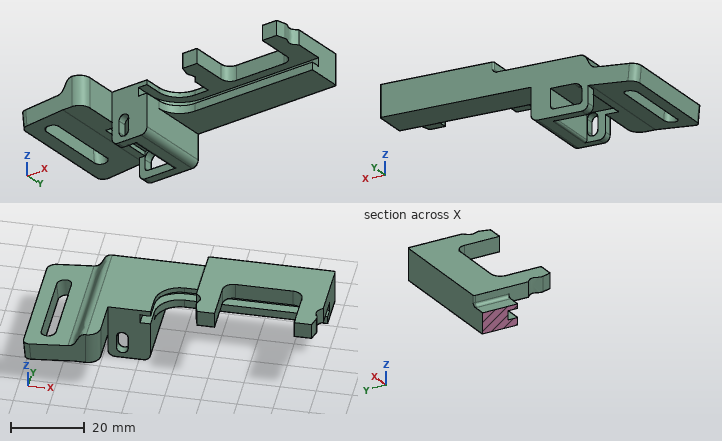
import cadquery as cq
import math

LENGTH = 79.53
DEPTH = 37.2
HEIGHT = 19.68

DECK_TOP = 16.5
DECK_BOTTOM = 7.1
DECK_RIGHT = 21.1
DECK_CORNER_R = 3.5

TILT = 5.0
HANDLE_THICKNESS = 5.15
HANDLE_END_TOP = 11.0
HANDLE_FRONT_R = 2.0
HANDLE_BACK_R = 2.4
RISER_FOOT_X = 12.7
RISER_TOP_X = 17.75
RISER_MIDDLE = (15.15, 14.25)
SLOT_WIDTH = 4.1
SLOT_LENGTH = 26.1
SLOT_X = 6.15
SLOT_Y = 17.15

BLOCK_RIGHT = 32.9
BLOCK_FRONT = 13.65
RAIL_FRONT = 26.1
RAIL_BOTTOM = 10.0
RAIL_INNER_R = 7.0
RAIL_END_R = 0.5

GROOVE_BOTTOM = 12.4
GROOVE_TOP = 15.0
GROOVE_DEPTH = 2.9

FRONT_LEG_THICKNESS = 2.7
BACK_LEG_THICKNESS = 2.9
BACK_LEG_LEFT = 15.15
LEG_CORNER_R = 2.0
WALL_LEFT = 26.8
WALL_EDGE_R = 0.7
SCREW_SLOT_X = 25.1
SCREW_SLOT_WIDTH = 3.2
SCREW_SLOT_BOTTOM = 1.6
SCREW_SLOT_TOP = 8.35
WINDOW_LEFT = 17.05
WINDOW_BOTTOM = 2.35
WINDOW_TOP = 8.5
WINDOW_CORNER_R = 1.0
WINDOW_SHOULDER_R = 2.5

CLIP_LEFT = 44.4
CLIP_CORNER_R = 0.5
CLIP_FILLET_R = 1.0
ARM_TIP = 12.0
ARM_WIDTH = 6.55
MOUTH_CORNER_R = 3.0
NOTCH_START = 19.95
NECK_INSET = 1.5
NECK_Y = 17.6
BULGE_INSET = 0.95
BULGE_Y = 14.7
TIP_INSET = 1.7


def prism_y(outline, y_start, y_end):
    """Extrude a closed XZ outline from y_start to y_end."""
    return outline.extrude(y_start - y_end).translate((0, y_start, 0))


def box(x_start, x_end, y_start, y_end, z_start, z_end):
    """Box given by its limits along each axis."""
    size = (x_end - x_start, y_end - y_start, z_end - z_start)
    return cq.Workplane("XY").box(*size, centered=False).translate((x_start, y_start, z_start))


def make_deck_and_handle():
    tilt = math.radians(TILT)
    slope = math.tan(tilt)
    end_bottom_x = HANDLE_THICKNESS * math.sin(tilt)
    end_bottom_z = HANDLE_END_TOP - HANDLE_THICKNESS * math.cos(tilt)
    underside_bend_x = end_bottom_x + (DECK_BOTTOM - end_bottom_z) / slope
    riser_foot_z = HANDLE_END_TOP + RISER_FOOT_X * slope
    outline = (
        cq.Workplane("XZ")
        .moveTo(0, HANDLE_END_TOP)
        .lineTo(RISER_FOOT_X, riser_foot_z)
        .spline(
            [RISER_MIDDLE, (RISER_TOP_X, DECK_TOP)],
            tangents=[(1, slope), (1, 0)],
            includeCurrent=True,
        )
        .lineTo(DECK_RIGHT, DECK_TOP)
        .lineTo(DECK_RIGHT, DECK_BOTTOM)
        .lineTo(underside_bend_x, DECK_BOTTOM)
        .lineTo(end_bottom_x, end_bottom_z)
        .close()
    )
    body = prism_y(outline, 0, DEPTH)
    body = body.faces("<X").edges("<Y").fillet(HANDLE_FRONT_R)
    body = body.faces("<X").edges(">Y").fillet(HANDLE_BACK_R)
    body = body.faces(">X").edges("<Y").fillet(DECK_CORNER_R)

    slot_plane = cq.Plane(
        origin=(SLOT_X, SLOT_Y, HANDLE_END_TOP + SLOT_X * slope),
        xDir=(math.cos(tilt), 0, math.sin(tilt)),
        normal=(-math.sin(tilt), 0, math.cos(tilt)),
    )
    slot = cq.Workplane(slot_plane).slot2D(SLOT_LENGTH, SLOT_WIDTH, 90)
    return body.cut(slot.extrude(HANDLE_THICKNESS, both=True))


def block_and_rail_layer(inset, z_start, z_end):
    """Layer of the block and rail, with its right and front sides set back by inset."""
    step_x = BLOCK_RIGHT - inset
    rail_y = RAIL_FRONT + inset
    layer = (
        cq.Workplane("XY")
        .moveTo(DECK_RIGHT, BLOCK_FRONT)
        .lineTo(step_x, BLOCK_FRONT)
        .lineTo(step_x, rail_y)
        .lineTo(LENGTH, rail_y)
        .lineTo(LENGTH, DEPTH)
        .lineTo(DECK_RIGHT, DEPTH)
        .close()
        .extrude(z_end - z_start)
        .translate((0, 0, z_start))
    )
    inner_corner = cq.selectors.NearestToPointSelector((step_x, rail_y, (z_start + z_end) / 2))
    layer = layer.edges("|Z").edges(inner_corner).fillet(RAIL_INNER_R + inset)
    return layer.edges("|Z and >X and >Y").fillet(RAIL_END_R)


def make_block_and_rail():
    lower = block_and_rail_layer(0, RAIL_BOTTOM, GROOVE_BOTTOM)
    middle = block_and_rail_layer(GROOVE_DEPTH, GROOVE_BOTTOM, GROOVE_TOP)
    upper = block_and_rail_layer(0, GROOVE_TOP, DECK_TOP)
    core = box(DECK_RIGHT, BLOCK_RIGHT, BLOCK_FRONT, DEPTH, DECK_BOTTOM, RAIL_BOTTOM)
    return lower.union(middle).union(upper).union(core)


def make_leg(left, y_start, y_end):
    leg = box(left, BLOCK_RIGHT, y_start, y_end, 0, RAIL_BOTTOM)
    return leg.edges("|Y and <Z").fillet(LEG_CORNER_R)


def add_legs(body):
    front_inner = BLOCK_FRONT + FRONT_LEG_THICKNESS
    back_inner = DEPTH - BACK_LEG_THICKNESS

    body = body.cut(box(WINDOW_LEFT, WALL_LEFT, front_inner, back_inner, 0, WINDOW_TOP))
    wall = box(WALL_LEFT, BLOCK_RIGHT, front_inner, back_inner, 0, RAIL_BOTTOM)
    wall = wall.edges("|Y and <Z and >X").fillet(LEG_CORNER_R)
    wall = wall.edges("|Y and <Z and <X").fillet(WALL_EDGE_R)
    body = body.union(wall)
    body = body.union(make_leg(DECK_RIGHT, BLOCK_FRONT, front_inner))
    body = body.union(make_leg(BACK_LEG_LEFT, back_inner, DEPTH))

    slot_length = SCREW_SLOT_TOP - SCREW_SLOT_BOTTOM
    slot_middle = (SCREW_SLOT_TOP + SCREW_SLOT_BOTTOM) / 2
    slot = cq.Workplane("XZ").center(SCREW_SLOT_X, slot_middle).slot2D(slot_length, SCREW_SLOT_WIDTH, 90)
    body = body.cut(prism_y(slot, BLOCK_FRONT, front_inner))

    window = box(WINDOW_LEFT, WALL_LEFT, back_inner, DEPTH, WINDOW_BOTTOM, WINDOW_TOP)
    window = window.edges("|Y and <Z").fillet(WINDOW_CORNER_R)
    window = window.edges("|Y and >Z and <X").fillet(WINDOW_SHOULDER_R)
    return body.cut(window)


def arm_outline(outer_x, inward):
    """Notched arm in plan; inward is +1 or -1 along X from its outer side."""
    neck_x = outer_x + inward * NECK_INSET
    bulge_x = outer_x + inward * BULGE_INSET
    tip_x = outer_x + inward * TIP_INSET
    inner_x = outer_x + inward * ARM_WIDTH
    return (
        cq.Workplane("XY")
        .moveTo(outer_x, RAIL_FRONT)
        .lineTo(outer_x, NOTCH_START)
        .spline(
            [(neck_x, NECK_Y), (bulge_x, BULGE_Y)],
            tangents=[(inward, -1), (0, -1), (tip_x - bulge_x, ARM_TIP - BULGE_Y)],
            includeCurrent=True,
        )
        .lineTo(tip_x, ARM_TIP)
        .lineTo(inner_x, ARM_TIP)
        .lineTo(inner_x, RAIL_FRONT)
        .close()
    )


def make_clip():
    thickness = HEIGHT - GROOVE_TOP
    clip = box(CLIP_LEFT, LENGTH, RAIL_FRONT, DEPTH, GROOVE_TOP, HEIGHT)
    clip = clip.edges("|Z and >Y").fillet(CLIP_CORNER_R)
    for outer_x, inward in ((CLIP_LEFT, 1), (LENGTH, -1)):
        arm = arm_outline(outer_x, inward).extrude(thickness)
        clip = clip.union(arm.translate((0, 0, GROOVE_TOP)))
    for inner_x in (CLIP_LEFT + ARM_WIDTH, LENGTH - ARM_WIDTH):
        mouth_corner = cq.selectors.NearestToPointSelector((inner_x, RAIL_FRONT, HEIGHT - thickness / 2))
        clip = clip.edges("|Z").edges(mouth_corner).fillet(MOUTH_CORNER_R)
    return clip


body = make_deck_and_handle().union(make_block_and_rail())
body = add_legs(body)
body = body.union(make_clip())

clip_foot = cq.selectors.NearestToPointSelector((CLIP_LEFT, (RAIL_FRONT + DEPTH) / 2, DECK_TOP))
result = body.edges("|Y").edges(clip_foot).fillet(CLIP_FILLET_R)